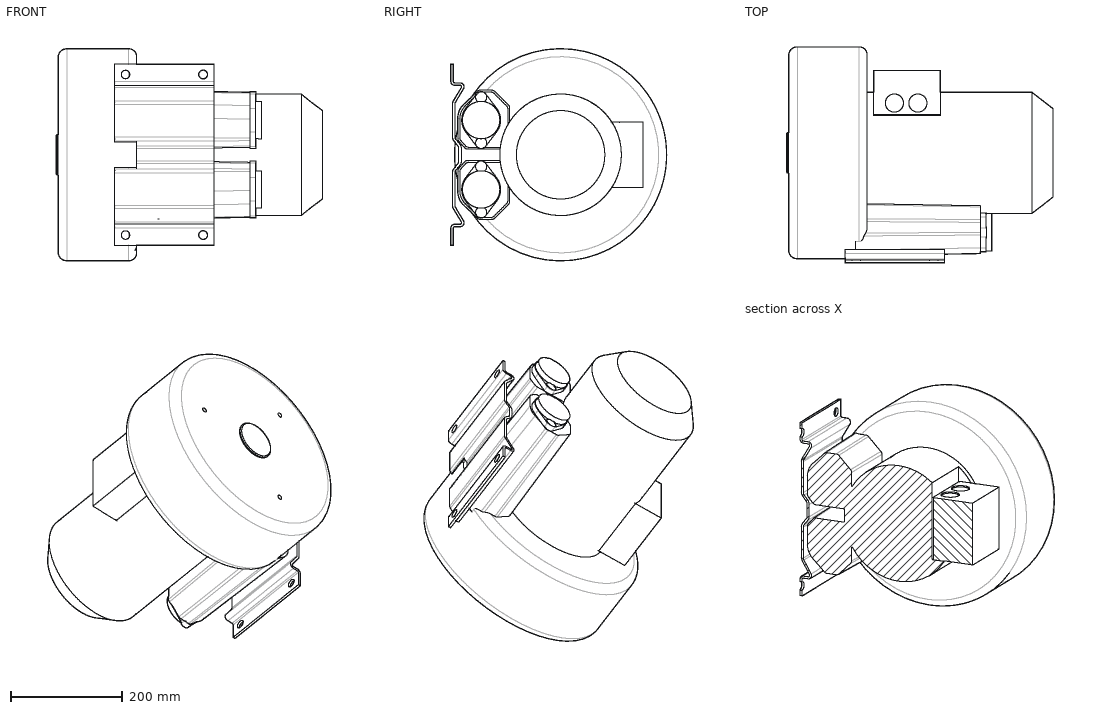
import cadquery as cq
import math

TOTAL_LENGTH = 480.0

HUB_RADIUS = 36.5
HUB_HEIGHT = 4.0
HUB_EDGE = 2.0
DRUM_RADIUS = 191.0
DRUM_START = HUB_HEIGHT
DRUM_END = 145.5
DRUM_FRONT_ROUND = 16.0
DRUM_REAR_ROUND = 14.5
SCREW_HOLE_RADIUS = 4.5
SCREW_HOLE_DEPTH = 14.5
SCREW_HOLE_TIP = 2.5
SCREW_CIRCLE_RADIUS = 120.0
SCREW_HOLE_COUNT = 3

SILENCER_START = 125.0
SILENCER_END = 349.0
SILENCER_DRAFT = 1.0
SILENCER_FRONT = -185.5
SILENCER_BACK = -91.0
SILENCER_TOP = 116.5
SILENCER_BOTTOM = 9.5
FRONT_CHAMFER_Y = 38.0
FRONT_CHAMFER_Z = 36.0
BACK_CHAMFER = 29.5
LOW_CHAMFER_Y = 15.0
LOW_CHAMFER_Z = 16.5
SILENCER_ROUND = 33.5
SILENCER_EDGE_ROUND = 7.0

PORT_Y = -143.0
PORT_Z = 62.5
FLANGE_THICKNESS = 10.0
FLANGE_RADIUS = 35.0
FLANGE_HALF_HEIGHT = 51.5
EAR_RADIUS = 10.0
EAR_BOSS_HEIGHT = 1.5
PIPE_RADIUS = 33.5
PIPE_END = 369.5

MOTOR_RADIUS = 109.5
MOTOR_TIP_RADIUS = 79.5
CONE_START = 441.5

BOX_START = 157.0
BOX_LENGTH = 120.0
BOX_BACK = 148.5
BOX_FRONT = 69.0
BOX_FRONT_GAP = 1.5
BOX_HALF_HEIGHT = 58.5
KNOCKOUT_RADIUS = 16.5
KNOCKOUT_DEPTH = 2.5
KNOCKOUT_Y = 90.0
KNOCKOUTS_X = (194.5, 236.5)

SHEET = 5.0
TIGHT_BEND = 2.5
OPEN_BEND = 6.5
FOOT_START = 105.5
FOOT_END = 284.5
FOOT_HALF_HEIGHT = 163.0
FOOT_FACE = -198.0
LEG_Z = 125.0
VALLEY_Y = -176.5
PLATE_FACE = -195.0
PLATE_TOP = 94.0
PLATE_BOTTOM = 28.5
BRIDGE_FACE = -183.5
BRIDGE_HALF_HEIGHT = 14.0
NOTCH_HALF_HEIGHT = 23.0
FOOT_HOLE_RADIUS = 7.5
FOOT_HOLE_Z = 144.5
FOOT_HOLES_X = (125.5, 265.0)


def cylinder_along_x(radius, start, end, y=0.0, z=0.0):
    return cq.Workplane("YZ", origin=(start, y, z)).circle(radius).extrude(end - start)


def make_drum():
    drum = cylinder_along_x(DRUM_RADIUS, DRUM_START, DRUM_END)
    drum = drum.faces("<X").edges().fillet(DRUM_FRONT_ROUND)
    drum = drum.faces(">X").edges().fillet(DRUM_REAR_ROUND)
    hub = cylinder_along_x(HUB_RADIUS, 0, DRUM_START + DRUM_FRONT_ROUND)
    hub = hub.faces("<X").edges().chamfer(HUB_EDGE)
    pad = cylinder_along_x(DRUM_RADIUS, DRUM_END - 2 * DRUM_REAR_ROUND, DRUM_END).intersect(
        cq.Workplane("XY", origin=(DRUM_END, -DRUM_RADIUS, 0)).box(
            2 * DRUM_REAR_ROUND, 4 * DRUM_REAR_ROUND, 2 * NOTCH_HALF_HEIGHT
        )
    )
    return drum.union(hub).union(pad)


def make_screw_hole(angle):
    bottom = DRUM_START + SCREW_HOLE_DEPTH
    drill = (
        cq.Workplane("XY")
        .moveTo(DRUM_START, 0)
        .lineTo(DRUM_START, SCREW_HOLE_RADIUS)
        .lineTo(bottom, SCREW_HOLE_RADIUS)
        .lineTo(bottom + SCREW_HOLE_TIP, 0)
        .close()
        .revolve(360, (0, 0, 0), (1, 0, 0))
    )
    return drill.translate((0, SCREW_CIRCLE_RADIUS, 0)).rotate((0, 0, 0), (1, 0, 0), angle)


def make_silencer_body():
    outline = [
        (SILENCER_BACK, SILENCER_BOTTOM),
        (SILENCER_FRONT + LOW_CHAMFER_Y, SILENCER_BOTTOM),
        (SILENCER_FRONT, SILENCER_BOTTOM + LOW_CHAMFER_Z),
        (SILENCER_FRONT, SILENCER_TOP - FRONT_CHAMFER_Z),
        (SILENCER_FRONT + FRONT_CHAMFER_Y, SILENCER_TOP),
        (SILENCER_BACK - BACK_CHAMFER, SILENCER_TOP),
        (SILENCER_BACK, SILENCER_TOP - BACK_CHAMFER),
    ]
    body = (
        cq.Workplane("YZ", origin=(SILENCER_START, 0, 0))
        .polyline(outline)
        .close()
        .extrude(SILENCER_END - SILENCER_START, taper=SILENCER_DRAFT)
    )
    middle = (SILENCER_START + SILENCER_END) / 2

    def edge_near(corner):
        return cq.selectors.NearestToPointSelector((middle, *corner))

    front_top = outline[3]
    small_corners = [c for c in outline if c != front_top]
    body = body.edges(edge_near(front_top)).fillet(SILENCER_ROUND)
    for corner in small_corners:
        body = body.edges(edge_near(corner)).fillet(SILENCER_EDGE_ROUND)
    return body


def make_flange():
    ear_offset = FLANGE_HALF_HEIGHT - EAR_RADIUS
    rise = (FLANGE_RADIUS - EAR_RADIUS) / ear_offset
    run = math.sqrt(1 - rise**2)
    side_y, side_z = FLANGE_RADIUS * run, FLANGE_RADIUS * rise
    ear_y, ear_z = EAR_RADIUS * run, ear_offset + EAR_RADIUS * rise
    plate = (
        cq.Workplane("YZ", origin=(SILENCER_END, PORT_Y, PORT_Z))
        .moveTo(side_y, -side_z)
        .threePointArc((FLANGE_RADIUS, 0), (side_y, side_z))
        .lineTo(ear_y, ear_z)
        .threePointArc((0, FLANGE_HALF_HEIGHT), (-ear_y, ear_z))
        .lineTo(-side_y, side_z)
        .threePointArc((-FLANGE_RADIUS, 0), (-side_y, -side_z))
        .lineTo(-ear_y, -ear_z)
        .threePointArc((0, -FLANGE_HALF_HEIGHT), (ear_y, -ear_z))
        .close()
        .extrude(FLANGE_THICKNESS)
    )
    boss_end = SILENCER_END + FLANGE_THICKNESS + EAR_BOSS_HEIGHT
    for offset in (-ear_offset, ear_offset):
        plate = plate.union(cylinder_along_x(EAR_RADIUS, SILENCER_END, boss_end, PORT_Y, PORT_Z + offset))
    return plate.union(cylinder_along_x(PIPE_RADIUS, SILENCER_END, PIPE_END, PORT_Y, PORT_Z))


def make_motor_barrel():
    return (
        cq.Workplane("XY")
        .moveTo(DRUM_END, 0)
        .lineTo(DRUM_END, MOTOR_RADIUS)
        .lineTo(CONE_START, MOTOR_RADIUS)
        .lineTo(TOTAL_LENGTH, MOTOR_TIP_RADIUS)
        .lineTo(TOTAL_LENGTH, 0)
        .close()
        .revolve(360, (0, 0, 0), (1, 0, 0))
    )


def make_box_pocket():
    pocket_front = BOX_FRONT - BOX_FRONT_GAP
    return (
        cq.Workplane("XY", origin=(BOX_START, pocket_front, -BOX_HALF_HEIGHT))
        .rect(BOX_LENGTH, BOX_BACK - pocket_front, centered=False)
        .extrude(BOX_HALF_HEIGHT + MOTOR_RADIUS)
    )


def make_blower():
    upper_silencer = make_silencer_body().union(make_flange())
    blower = make_drum().union(make_motor_barrel())
    for silencer in (upper_silencer, upper_silencer.mirror("XY")):
        blower = blower.union(silencer)
    for i in range(SCREW_HOLE_COUNT):
        blower = blower.cut(make_screw_hole(i * 360 / SCREW_HOLE_COUNT))
    return blower.cut(make_box_pocket())


def make_terminal_box():
    box = (
        cq.Workplane("XY", origin=(BOX_START, BOX_FRONT, -BOX_HALF_HEIGHT))
        .rect(BOX_LENGTH, BOX_BACK - BOX_FRONT, centered=False)
        .extrude(2 * BOX_HALF_HEIGHT)
    )
    knockouts = (
        cq.Workplane("XY", origin=(0, 0, BOX_HALF_HEIGHT))
        .pushPoints([(x, KNOCKOUT_Y) for x in KNOCKOUTS_X])
        .circle(KNOCKOUT_RADIUS)
        .extrude(-KNOCKOUT_DEPTH)
    )
    return box.cut(knockouts)


def offset_path(path, distance):
    """Corners of the path shifted sideways by the distance, with mitred corners."""
    directions = []
    for (y0, z0), (y1, z1) in zip(path, path[1:]):
        length = math.hypot(y1 - y0, z1 - z0)
        directions.append(((y1 - y0) / length, (z1 - z0) / length))
    shifted = []
    for i, (y, z) in enumerate(path):
        before = directions[max(i - 1, 0)]
        after = directions[min(i, len(directions) - 1)]
        reach = distance / (1 + before[0] * after[0] + before[1] * after[1])
        shifted.append((y - reach * (before[1] + after[1]), z + reach * (before[0] + after[0])))
    return shifted


def make_foot():
    upper_half = [
        (FOOT_FACE, FOOT_HALF_HEIGHT),
        (FOOT_FACE, LEG_Z),
        (VALLEY_Y, LEG_Z),
        (PLATE_FACE, PLATE_TOP),
        (PLATE_FACE, PLATE_BOTTOM),
        (BRIDGE_FACE, BRIDGE_HALF_HEIGHT),
    ]
    outer = upper_half + [(y, -z) for y, z in reversed(upper_half)]
    inner = offset_path(outer, SHEET)
    foot = (
        cq.Workplane("YZ", origin=(FOOT_START, 0, 0))
        .polyline(outer + inner[::-1])
        .close()
        .extrude(FOOT_END - FOOT_START)
    )
    middle = (FOOT_START + FOOT_END) / 2
    bends = [TIGHT_BEND, TIGHT_BEND, OPEN_BEND, OPEN_BEND, OPEN_BEND]
    for i, bend in enumerate(bends + bends[::-1], start=1):
        (y0, z0), (y1, z1), (y2, z2) = outer[i - 1 : i + 2]
        turn = (y1 - y0) * (z2 - z1) - (z1 - z0) * (y2 - y1)
        hollow, crown = (inner[i], outer[i]) if turn > 0 else (outer[i], inner[i])
        for corner, radius in ((hollow, bend), (crown, bend + SHEET)):
            foot = foot.edges(cq.selectors.NearestToPointSelector((middle, *corner))).fillet(radius)
    holes = (
        cq.Workplane("XZ")
        .pushPoints([(x, z) for x in FOOT_HOLES_X for z in (-FOOT_HOLE_Z, FOOT_HOLE_Z)])
        .circle(FOOT_HOLE_RADIUS)
        .extrude(-FOOT_FACE + SHEET)
    )
    notch = cq.Workplane("XY").box(
        DRUM_END - FOOT_START, -FOOT_FACE, 2 * NOTCH_HALF_HEIGHT, centered=(False, False, True)
    )
    foot = foot.cut(holes).cut(notch.translate((FOOT_START, FOOT_FACE, 0)))
    return foot.cut(cylinder_along_x(DRUM_RADIUS, FOOT_START, DRUM_END))


blower = make_blower()
terminal_box = make_terminal_box()
foot = make_foot()

result = cq.Compound.makeCompound([blower.val(), terminal_box.val(), foot.val()])